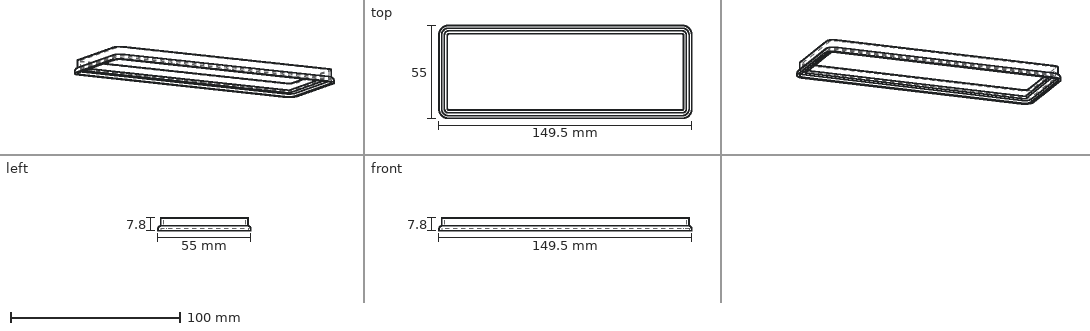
import cadquery as cq

length = 149.5
width = 55.0
flange_height = 3.3
flange_corner_radius = 5.7
shoulder_radius = 2.4

total_height = 7.8
wall_inset = 1.6
wall_thickness = 1.6

opening_inset = 5.1

rim_thickness = 1.6
ledge_thickness = 1.6


def rounded_block(inset, bottom, top):
    """Block whose sides and corners are offset inward from the flange outline."""
    return (
        cq.Workplane("XY", origin=(0, 0, bottom))
        .rect(length - 2 * inset, width - 2 * inset)
        .extrude(top - bottom)
        .edges("|Z")
        .fillet(flange_corner_radius - inset)
    )


flange = rounded_block(0, 0, flange_height).faces(">Z").edges().fillet(shoulder_radius)

wall = rounded_block(wall_inset, 0, total_height)

recess = rounded_block(wall_inset + wall_thickness, flange_height, total_height)
opening = rounded_block(opening_inset, 0, total_height)

hollow = rounded_block(rim_thickness, 0, flange_height - ledge_thickness)

result = flange.union(wall).cut(recess).cut(opening).cut(hollow)